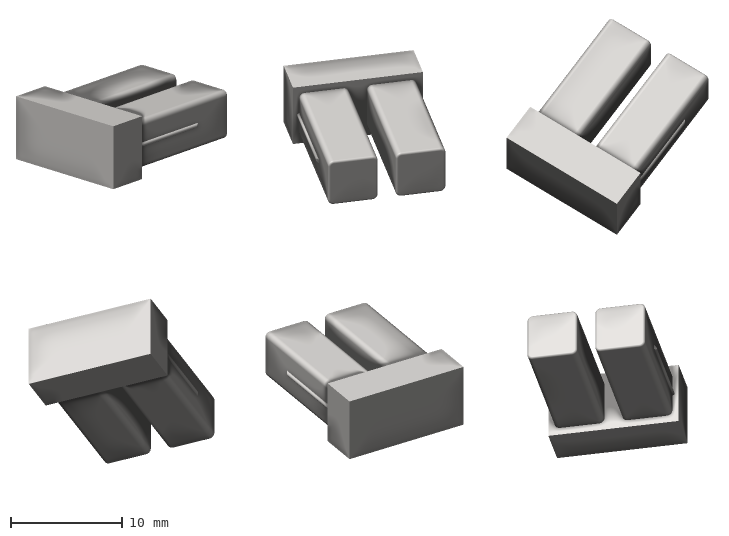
import cadquery as cq

base_width = 12.0
base_height = 6.0
base_depth = 3.8
total_length = 15.7

prong_side = 4.58
prong_spacing = 6.25
prong_edge_radius = 0.5
prong_tip_radius = 0.2
prong_length = total_length - base_depth

rib_radius = 0.2
rib_length = 7.99
rib_ramp_length = 0.35


def make_prong(center_x):
    """Square prong with rounded long edges and a softened tip."""
    prong = (
        cq.Workplane("XY")
        .box(prong_side, prong_length, prong_side)
        .edges("|Y")
        .fillet(prong_edge_radius)
        .faces(">Y")
        .edges()
        .fillet(prong_tip_radius)
    )
    return prong.translate((center_x, base_depth + prong_length / 2, 0))


def make_rib(side):
    """Half-exposed round rib on the outer face of one prong, with a flat ramp at its tip."""
    face_x = side * (prong_spacing + prong_side) / 2
    crest_x = side * rib_radius
    rib = cq.Workplane("XZ").circle(rib_radius).extrude(-rib_length)
    profile = (
        cq.Workplane("XY")
        .moveTo(-crest_x, 0)
        .lineTo(crest_x, 0)
        .lineTo(crest_x, rib_length - rib_ramp_length)
        .lineTo(0, rib_length)
        .lineTo(-crest_x, rib_length)
        .close()
        .extrude(rib_radius, both=True)
    )
    return rib.intersect(profile).translate((face_x, base_depth, 0))


result = cq.Workplane("XY").box(base_width, base_depth, base_height)
result = result.translate((0, base_depth / 2, 0))
for side in (-1, 1):
    result = result.union(make_prong(side * prong_spacing / 2))
    result = result.union(make_rib(side))